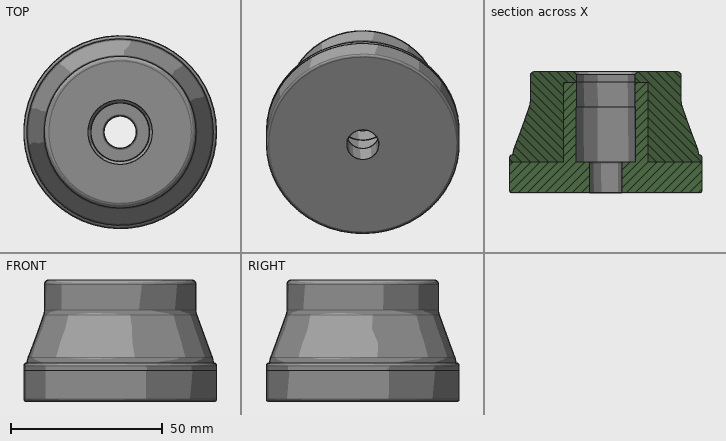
import cadquery as cq
import math

outer_radius = 31.75
total_height = 40.0

base_height = 10.2
base_edge_fillet = 0.75
stem_radius = 14.0
stem_top = 36.45
bore_radius = 9.6
relief_radius = 9.7
relief_top = 28.3
hole_radius = 5.3
hole_edge_fillet = 0.45

shoulder_height = 12.65
shoulder_fillet = 0.95
neck_radius = 24.95
neck_bottom = 30.05
neck_blend_radius = 4.45
skirt_blend_radius = 5.2
skirt_angle = math.radians(20)
top_fillet = 1.5
mouth_chamfer = 1.0


def blend_offset(radius, angle):
    """Radial and axial distance along an arc that starts vertical and turns by angle."""
    return radius * (1 - math.cos(angle)), radius * math.sin(angle)


def cylinder(radius, bottom, top):
    return cq.Workplane("XY").workplane(offset=bottom).circle(radius).extrude(top - bottom)


def make_core():
    disc = cylinder(outer_radius, 0, base_height).faces("<Z").edges().fillet(base_edge_fillet)
    core = disc.union(cylinder(stem_radius, base_height, stem_top))

    core = core.cut(cylinder(bore_radius, base_height, stem_top))
    core = core.cut(cylinder(relief_radius, base_height, relief_top))

    core = core.cut(cylinder(hole_radius, 0, base_height))
    around_floor = cq.selectors.BoxSelector(
        (-bore_radius, -bore_radius, base_edge_fillet),
        (bore_radius, bore_radius, relief_top),
    )
    smallest_edge = cq.selectors.RadiusNthSelector(0)
    return core.edges(around_floor).edges(smallest_edge).fillet(hole_edge_fillet)


def make_cover_blank():
    neck_dr, neck_dz = blend_offset(neck_blend_radius, skirt_angle)
    neck_mid_dr, neck_mid_dz = blend_offset(neck_blend_radius, skirt_angle / 2)
    skirt_dr, skirt_dz = blend_offset(skirt_blend_radius, skirt_angle)
    skirt_mid_dr, skirt_mid_dz = blend_offset(skirt_blend_radius, skirt_angle / 2)

    cone_top_radius = neck_radius + neck_dr
    cone_top = neck_bottom - neck_dz
    cone_bottom = shoulder_height + skirt_dz
    cone_bottom_radius = cone_top_radius + (cone_top - cone_bottom) * math.tan(skirt_angle)
    skirt_radius = cone_bottom_radius + skirt_dr

    profile = (
        cq.Workplane("XZ")
        .moveTo(0, base_height)
        .lineTo(outer_radius, base_height)
        .lineTo(outer_radius, shoulder_height - shoulder_fillet)
        .radiusArc((outer_radius - shoulder_fillet, shoulder_height), -shoulder_fillet)
        .lineTo(skirt_radius, shoulder_height)
        .threePointArc(
            (skirt_radius - skirt_mid_dr, shoulder_height + skirt_mid_dz),
            (cone_bottom_radius, cone_bottom),
        )
        .lineTo(cone_top_radius, cone_top)
        .threePointArc(
            (neck_radius + neck_mid_dr, neck_bottom - neck_mid_dz),
            (neck_radius, neck_bottom),
        )
        .lineTo(neck_radius, total_height)
        .lineTo(0, total_height)
        .close()
    )
    return profile.revolve(360, (0, 0, 0), (0, 1, 0))


def make_cover():
    cover = make_cover_blank().faces(">Z").edges().fillet(top_fillet)

    cover = cover.cut(cylinder(stem_radius, base_height, stem_top))
    cover = cover.cut(cylinder(bore_radius, stem_top, total_height))
    mouth_edge = cq.selectors.RadiusNthSelector(0)
    return cover.faces(">Z").edges(mouth_edge).chamfer(mouth_chamfer)


core = make_core()
cover = make_cover()

result = cq.Compound.makeCompound([core.val(), cover.val()])